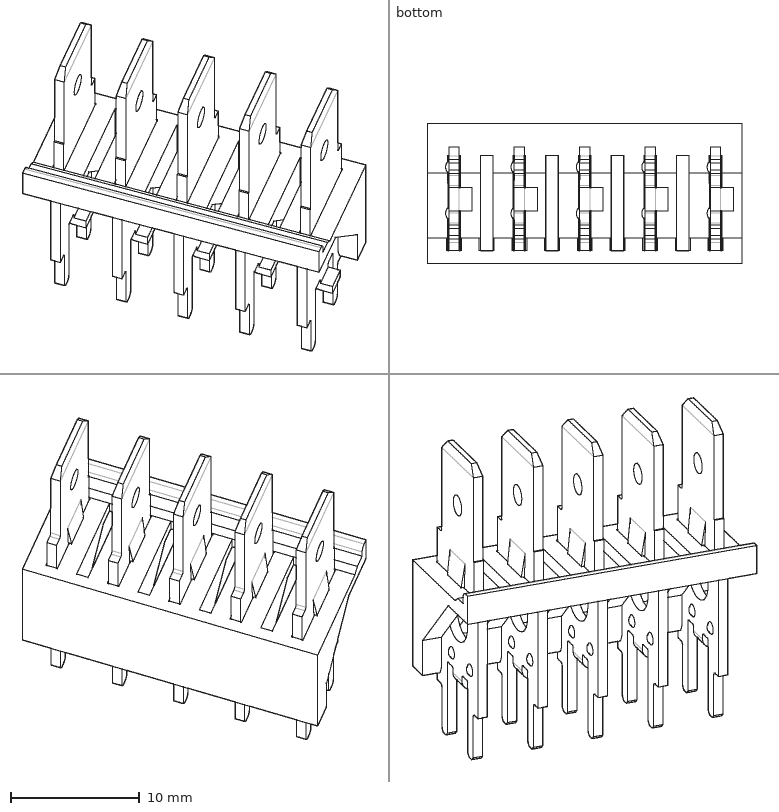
import cadquery as cq

TERMINAL_COUNT = 5
PITCH = 5.08
FIRST_TERMINAL_X = -PITCH * (TERMINAL_COUNT - 1) / 2

HOUSING_LENGTH = 24.44
HOUSING_BACK_Y = 5.0
HOUSING_FRONT_Y = -5.9
HOUSING_TOP_Z = 9.05
FLANGE_UNDERSIDE_Z = 8.05
BACK_WALL_FRONT_Y = 3.0
BACK_WALL_FREE_HEIGHT = 3.0
BRACE_RUN = FLANGE_UNDERSIDE_Z - BACK_WALL_FREE_HEIGHT
LEDGE_START_Y = -3.38
LEDGE_RAMP_RUN = 0.55
LEDGE_TOP_Z = 9.45
LIP_BACK_Y = -5.0
LIP_TOP_Z = 10.45
LIP_RADIUS = 0.45

SLOT_BACK_Y = 4.0
SLOT_FRONT_Y = LEDGE_START_Y
SLOT_WIDTH = 0.95
SLOT_MOUTH_CHAMFER = 0.1
SLOT_MOUTH_HEIGHT = 0.4

THICKNESS = 0.8
TERMINAL_TOP_Z = 19.95
TERMINAL_BOTTOM_Z = -5.05
TAB_HALF_WIDTH = 3.15
TAB_CHAMFER_RUN = 0.8
TAB_CHAMFER_HEIGHT = 0.85
TIP_THICKNESS = 0.46
SHOULDER_Z = 11.95
SHOULDER_FILLET = 0.2
BODY_BACK_Y = SLOT_BACK_Y
NECK_FRONT_Y = -3.28
BODY_FRONT_Y = -4.05
BODY_FRONT_TOP_Z = 7.95
BODY_FRONT_TOP_RADIUS = 0.2
BODY_BOTTOM_Z = -1.05
TAB_HOLE_DIAMETER = 1.65
TAB_HOLE_Z = 15.45
BODY_HOLE_DIAMETER = 4.0
BODY_HOLE_Z = 5.95

LEG_OUTER_Y = 3.1
LEG_INNER_Y = 2.0
LEG_GAP_TOP_Z = 1.32
LEG_CHAMFER = 0.28
LEG_FILLET = 0.25
LEG_GAP_FILLET = 0.15

FOOT_HALF_WIDTH = 0.9
FOOT_BOTTOM_Z = 0.03
FOOT_TIP_X = 1.4

LANCE_TOP_Z = 11.08
LANCE_BOTTOM_Z = BODY_HOLE_Z + BODY_HOLE_DIAMETER / 2
LANCE_TOP_HALF_WIDTH = 1.5
LANCE_BOTTOM_HALF_WIDTH = 1.28
LANCE_PROJECTION = 0.42

DIMPLE_YS = (1.1, -2.5)
DIMPLE_Z = 2.45
DIMPLE_RADIUS = 0.5
DIMPLE_HEIGHT = 0.25


def box_between(x0, x1, y0, y1, z0, z1):
    return cq.Workplane("XY").box(x1 - x0, y1 - y0, z1 - z0, centered=False).translate((x0, y0, z0))


def make_lance():
    """Tapered wedge that grows outwards from the plate's -X face."""
    face_x = -THICKNESS / 2
    wedge = (
        cq.Workplane("XZ")
        .polyline([(face_x, LANCE_TOP_Z), (face_x - LANCE_PROJECTION, LANCE_BOTTOM_Z), (face_x, LANCE_BOTTOM_Z)])
        .close()
        .extrude(LANCE_TOP_HALF_WIDTH, both=True)
    )
    taper = (
        cq.Workplane("YZ")
        .polyline([
            (-LANCE_TOP_HALF_WIDTH, LANCE_TOP_Z),
            (LANCE_TOP_HALF_WIDTH, LANCE_TOP_Z),
            (LANCE_BOTTOM_HALF_WIDTH, LANCE_BOTTOM_Z),
            (-LANCE_BOTTOM_HALF_WIDTH, LANCE_BOTTOM_Z),
        ])
        .close()
        .extrude(THICKNESS + LANCE_PROJECTION, both=True)
    )
    return wedge.intersect(taper)


def make_tab():
    """Quick-connect tab with cut corners and a tip thinned on both faces."""
    chamfer_z = TERMINAL_TOP_Z - TAB_CHAMFER_HEIGHT
    outline = (
        cq.Workplane("YZ")
        .polyline([
            (-TAB_HALF_WIDTH, SHOULDER_Z),
            (-TAB_HALF_WIDTH, chamfer_z),
            (-TAB_HALF_WIDTH + TAB_CHAMFER_RUN, TERMINAL_TOP_Z),
            (TAB_HALF_WIDTH - TAB_CHAMFER_RUN, TERMINAL_TOP_Z),
            (TAB_HALF_WIDTH, chamfer_z),
            (TAB_HALF_WIDTH, SHOULDER_Z),
        ])
        .close()
        .extrude(THICKNESS / 2, both=True)
    )
    edge_profile = (
        cq.Workplane("XZ")
        .polyline([
            (-THICKNESS / 2, SHOULDER_Z),
            (-THICKNESS / 2, chamfer_z),
            (-TIP_THICKNESS / 2, TERMINAL_TOP_Z),
            (TIP_THICKNESS / 2, TERMINAL_TOP_Z),
            (THICKNESS / 2, chamfer_z),
            (THICKNESS / 2, SHOULDER_Z),
        ])
        .close()
        .extrude(TAB_HALF_WIDTH, both=True)
    )
    return outline.intersect(edge_profile)


def make_leg(side):
    """Solder leg with a chamfered end; side is +1 (back) or -1 (front)."""
    y_min, y_max = sorted((side * LEG_INNER_Y, side * LEG_OUTER_Y))
    leg = box_between(-THICKNESS / 2, THICKNESS / 2, y_min, y_max, TERMINAL_BOTTOM_Z, LEG_GAP_TOP_Z)
    return leg.faces("<Z").edges("|X").chamfer(LEG_CHAMFER)


def make_foot():
    """Foot that leaves the plate downwards and bends a quarter turn to +X."""
    face_x = -THICKNESS / 2
    foot = box_between(face_x, THICKNESS / 2, -FOOT_HALF_WIDTH, FOOT_HALF_WIDTH, FOOT_BOTTOM_Z, LEG_GAP_TOP_Z)
    toe = box_between(
        face_x, FOOT_TIP_X, -FOOT_HALF_WIDTH, FOOT_HALF_WIDTH, FOOT_BOTTOM_Z, FOOT_BOTTOM_Z + THICKNESS
    )
    bend_corner = cq.selectors.NearestToPointSelector((face_x, 0, FOOT_BOTTOM_Z))
    return foot.union(toe).edges("|Y").edges(bend_corner).fillet(THICKNESS)


def make_dimple(y):
    """Spherical cap on the plate's -X face, with a root inside the plate."""
    sphere_radius = (DIMPLE_RADIUS**2 + DIMPLE_HEIGHT**2) / (2 * DIMPLE_HEIGHT)
    center_x = -THICKNESS / 2 - DIMPLE_HEIGHT + sphere_radius
    sphere = cq.Workplane("XY").sphere(sphere_radius).rotate((0, 0, 0), (0, 1, 0), -90)
    sphere = sphere.translate((center_x, y, DIMPLE_Z))
    cap = cq.Workplane("YZ").center(y, DIMPLE_Z).circle(2 * DIMPLE_RADIUS).extrude(-THICKNESS)
    return sphere.intersect(cap)


def hole_cutter(diameter, z):
    """Cylinder along X through the middle of the plate at height z."""
    return cq.Workplane("YZ").center(0, z).circle(diameter / 2).extrude(THICKNESS, both=True)


def make_terminal():
    """Flat blade with a tab on top, two solder legs, a bent foot, a lance and dimples."""
    half = THICKNESS / 2
    body = box_between(-half, half, BODY_FRONT_Y, BODY_BACK_Y, BODY_BOTTOM_Z, BODY_FRONT_TOP_Z)
    body = body.edges("|X and <Y and >Z").fillet(BODY_FRONT_TOP_RADIUS)
    leg_gap = box_between(-half, half, -LEG_INNER_Y, LEG_INNER_Y, BODY_BOTTOM_Z, LEG_GAP_TOP_Z)
    neck = box_between(-half, half, NECK_FRONT_Y, BODY_BACK_Y, BODY_HOLE_Z, SHOULDER_Z)
    plate = body.cut(leg_gap).union(neck).union(make_tab())
    shoulder_corner = cq.selectors.NearestToPointSelector((0, TAB_HALF_WIDTH, SHOULDER_Z))
    plate = plate.edges("|X").edges(shoulder_corner).fillet(SHOULDER_FILLET)
    for side in (1, -1):
        plate = plate.union(make_leg(side))
        leg_root = cq.selectors.NearestToPointSelector((0, side * LEG_OUTER_Y, BODY_BOTTOM_Z))
        plate = plate.edges("|X").edges(leg_root).fillet(LEG_FILLET)
    plate = plate.cut(hole_cutter(TAB_HOLE_DIAMETER, TAB_HOLE_Z))
    plate = plate.cut(hole_cutter(BODY_HOLE_DIAMETER, BODY_HOLE_Z))
    plate = plate.union(make_foot()).union(make_lance())
    for y in (LEG_INNER_Y, FOOT_HALF_WIDTH, -FOOT_HALF_WIDTH, -LEG_INNER_Y):
        gap_corner = cq.selectors.NearestToPointSelector((0, y, LEG_GAP_TOP_Z))
        plate = plate.edges("|X").edges(gap_corner).fillet(LEG_GAP_FILLET)
    for y in DIMPLE_YS:
        plate = plate.union(make_dimple(y))
    return plate


def make_slot():
    """Cutter for a vertical slot whose mouth widens at the underside."""
    half = SLOT_WIDTH / 2
    mouth_half = half + SLOT_MOUTH_CHAMFER
    profile = [
        (-mouth_half, 0),
        (-half, SLOT_MOUTH_HEIGHT),
        (-half, LIP_TOP_Z),
        (half, LIP_TOP_Z),
        (half, SLOT_MOUTH_HEIGHT),
        (mouth_half, 0),
    ]
    slot = cq.Workplane("XZ").polyline(profile).close().extrude(SLOT_BACK_Y - SLOT_FRONT_Y)
    return slot.translate((0, SLOT_BACK_Y, 0))


def make_housing(terminal_xs):
    """L-shaped bracket with a braced top plate and a raised lip along its front edge."""
    profile = [
        (HOUSING_BACK_Y, 0),
        (HOUSING_BACK_Y, HOUSING_TOP_Z),
        (LEDGE_START_Y, HOUSING_TOP_Z),
        (LEDGE_START_Y - LEDGE_RAMP_RUN, LEDGE_TOP_Z),
        (LIP_BACK_Y, LEDGE_TOP_Z),
        (LIP_BACK_Y, LIP_TOP_Z),
        (HOUSING_FRONT_Y, LIP_TOP_Z),
        (HOUSING_FRONT_Y, FLANGE_UNDERSIDE_Z),
        (BACK_WALL_FRONT_Y - BRACE_RUN, FLANGE_UNDERSIDE_Z),
        (BACK_WALL_FRONT_Y, BACK_WALL_FREE_HEIGHT),
        (BACK_WALL_FRONT_Y, 0),
    ]
    housing = cq.Workplane("YZ").polyline(profile).close().extrude(HOUSING_LENGTH / 2, both=True)
    lip_corner = cq.selectors.NearestToPointSelector((0, LIP_BACK_Y, LIP_TOP_Z))
    housing = housing.edges("|X").edges(lip_corner).fillet(LIP_RADIUS)
    slot = make_slot()
    terminal_opening = slot.union(make_lance())
    for x in terminal_xs:
        housing = housing.cut(terminal_opening.translate((x, 0, 0)))
    for x in terminal_xs[:-1]:
        housing = housing.cut(slot.translate((x + PITCH / 2, 0, 0)))
    return housing


terminal_xs = [FIRST_TERMINAL_X + i * PITCH for i in range(TERMINAL_COUNT)]

housing = make_housing(terminal_xs)
terminal = make_terminal()
terminals = [terminal.translate((x, 0, 0)) for x in terminal_xs]

result = cq.Compound.makeCompound([housing.val(), *[blade.val() for blade in terminals]])